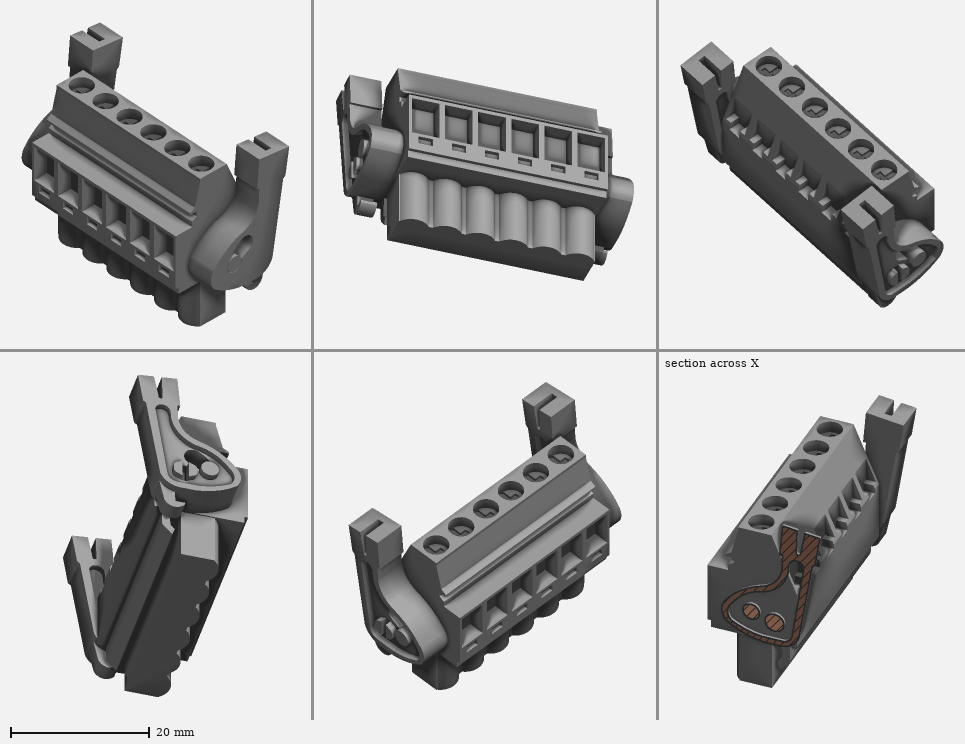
import cadquery as cq

OVERALL_LENGTH = 40.2
POLE_COUNT = 6
LEVER_WIDTH = 4.85
BOTTOM_Z = 8.35
TOP_Z = 27.05
BACK_Y = 14.02
TOP_BACK_Y = 10.05
PLUG_HALF_LENGTH = 15.03

HALF_LENGTH = OVERALL_LENGTH / 2
HOUSING_LENGTH = OVERALL_LENGTH - 2 * LEVER_WIDTH
HOUSING_HALF = HOUSING_LENGTH / 2
POLE_PITCH = HOUSING_LENGTH / POLE_COUNT
POLE_XS = [(i - (POLE_COUNT - 1) / 2) * POLE_PITCH for i in range(POLE_COUNT)]

SKIRT_FRONT_Y = 3.8
SKIRT_VALLEY_Y = 4.95
BULGE_HALF_WIDTH = 2.2

LATCH_PROFILE = [(12.85, BOTTOM_Z), (12.85, 5.6), (12.75, 5.1), (11.35, 3.6), (10.93, 4.7), (11.55, 5.3),
                 (11.7, 6.5), (11.35, BOTTOM_Z)]

WIRE_WIDTH = 4.2
WIRE_BOTTOM_Z = 12.45
WIRE_TOP_Z = 18.52
WIRE_DEPTH = 2.5
TEST_WIDTH = 2.15
TEST_BOTTOM_Z = 10.75
TEST_TOP_Z = 11.97
TEST_DEPTH = 0.7

SLOPE_FOOT_Z = 17.65
STEP_WIDTH = 4.05
STEP_FRONT_Y = 12.2
STEP_FLOOR_Z = 18.2
NOTCH_WIDTH = 2.1
NOTCH_FLOOR_Z = 16.88

SCREW_Y = 7.4
SCREW_RADIUS = 1.91
SCREW_TOP_DEPTH = 1.85
SCREW_LENGTH = 2.4
CROSS_DEPTH = 0.4
LONG_SLOT_WIDTH = 0.52
SHORT_SLOT_WIDTH = 0.8
SHORT_SLOT_LENGTH = 2.65

PIVOT_Y, PIVOT_Z = 10.73, 12.15
PIVOT_RADIUS = 1.505
LIP_WIDTH = 3.55
LIP_HEIGHT = 2.35
LIP_CORNER = 0.9
SPLIT_WIDTH = 0.92
SPLIT_DEPTH = 2.4
GUIDE_Y, GUIDE_Z = 7.07, 13.1
GUIDE_RADIUS = 1.33

POCKET_DEPTH = 0.95
GUIDE_SLOT_RADIUS = 1.4
TAPER_SLOT_DEPTH = 3.65
HOOK_WIDTH = 2.5
LEVER_BOTTOM_Z = 8.25


def box(x_range, y_range, z_range):
    """Box between the given limits on each axis."""
    lows, highs = zip(x_range, y_range, z_range)
    sizes = [high - low for low, high in zip(lows, highs)]
    return cq.Workplane("XY").box(*sizes, centered=False).translate(lows)


def side_plane(x):
    """Workplane at the given X whose local axes are Y and Z; extrusions go towards +X."""
    return cq.Workplane("YZ", origin=(x, 0, 0))


def housing_block():
    """Upper block with the stepped, undercut front."""
    profile = [
        (TOP_BACK_Y, TOP_Z), (4.82, TOP_Z), (4.82, 26.5),
        (3.78, 22.35), (2.85, 21.78), (2.85, 21.45), (4.18, 21.45), (4.18, 20.57), (3.25, 20.05), (3.25, 19.1),
        (0, 19.1), (0, 9.52), (0.55, 9.52), (0.55, BOTTOM_Z), (BACK_Y, BOTTOM_Z), (BACK_Y, SLOPE_FOOT_Z),
    ]
    return side_plane(-HOUSING_HALF).polyline(profile).close().extrude(HOUSING_LENGTH)


def plug_skirt():
    """Skirt below the block: flat back and one shallow bulge per pole in front."""
    outline = (
        cq.Workplane("XY")
        .moveTo(PLUG_HALF_LENGTH, TOP_BACK_Y)
        .lineTo(-PLUG_HALF_LENGTH, TOP_BACK_Y)
        .lineTo(-PLUG_HALF_LENGTH, SKIRT_VALLEY_Y)
    )
    for x in POLE_XS:
        outline = outline.lineTo(x - BULGE_HALF_WIDTH, SKIRT_VALLEY_Y)
        outline = outline.threePointArc((x, SKIRT_FRONT_Y), (x + BULGE_HALF_WIDTH, SKIRT_VALLEY_Y))
    return outline.lineTo(PLUG_HALF_LENGTH, SKIRT_VALLEY_Y).close().extrude(BOTTOM_Z)


def latch_rib():
    """Barbed rib behind the plug skirt."""
    return side_plane(-PLUG_HALF_LENGTH).polyline(LATCH_PROFILE).close().extrude(2 * PLUG_HALF_LENGTH)


def centred(x, width):
    """Limits of a span of the given width centred on the given place."""
    return (x - width / 2, x + width / 2)


def pole_cuts(x):
    """Everything removed from the block at one pole."""
    wire = box(centred(x, WIRE_WIDTH), (0, WIRE_DEPTH), (WIRE_BOTTOM_Z, WIRE_TOP_Z))
    test = box(centred(x, TEST_WIDTH), (0, TEST_DEPTH), (TEST_BOTTOM_Z, TEST_TOP_Z))
    step = box(centred(x, STEP_WIDTH), (STEP_FRONT_Y, BACK_Y), (STEP_FLOOR_Z, TOP_Z))
    notch = box(centred(x, NOTCH_WIDTH), (STEP_FRONT_Y, BACK_Y), (NOTCH_FLOOR_Z, TOP_Z))
    screw_hole = (
        cq.Workplane("XY", origin=(x, SCREW_Y, TOP_Z))
        .circle(SCREW_RADIUS).extrude(-SCREW_TOP_DEPTH - SCREW_LENGTH)
    )
    return [wire, test, step, notch, screw_hole]


def bearing_pins():
    """Pivot and guide pins through both levers, flush with their outer faces."""
    pivot = side_plane(-HALF_LENGTH).center(PIVOT_Y, PIVOT_Z).circle(PIVOT_RADIUS)
    guide = side_plane(-HALF_LENGTH).center(GUIDE_Y, GUIDE_Z).circle(GUIDE_RADIUS)
    return pivot.extrude(OVERALL_LENGTH).union(guide.extrude(OVERALL_LENGTH))


def snap_lip():
    """Rounded lip of the split pivot, resting on the floor of the -X lever's pocket."""
    return (
        side_plane(-HALF_LENGTH).center(PIVOT_Y, PIVOT_Z).rect(LIP_WIDTH, LIP_HEIGHT)
        .extrude(POCKET_DEPTH).edges("|X").fillet(LIP_CORNER)
    )


def pivot_split():
    """Upright slot that splits the end of the -X pivot pin into two prongs."""
    return box((-HALF_LENGTH, -HALF_LENGTH + SPLIT_DEPTH), centred(PIVOT_Y, SPLIT_WIDTH),
               centred(PIVOT_Z, 2 * PIVOT_RADIUS))


def make_housing():
    """Block, skirt, latch rib and lever bearings as one solid."""
    body = housing_block().union(plug_skirt()).union(latch_rib())
    body = body.union(bearing_pins()).union(snap_lip()).cut(pivot_split())
    for x in POLE_XS:
        for tool in pole_cuts(x):
            body = body.cut(tool)
    return body


def make_screw(x):
    """Headless screw with a cross recess, filling the lower part of its hole."""
    top = TOP_Z - SCREW_TOP_DEPTH
    floor = top - CROSS_DEPTH
    body = cq.Workplane("XY", origin=(x, SCREW_Y, top)).circle(SCREW_RADIUS).extrude(-SCREW_LENGTH)
    long_slot = box(centred(x, LONG_SLOT_WIDTH), centred(SCREW_Y, 2 * SCREW_RADIUS), (floor, top))
    short_slot = box(centred(x, SHORT_SLOT_LENGTH), centred(SCREW_Y, SHORT_SLOT_WIDTH), (floor, top))
    return body.cut(long_slot).cut(short_slot)


def lever_blank(x):
    """Finger grip on top, S-shaped front, rounded cam at the bottom."""
    return (
        side_plane(x)
        .moveTo(17.9, 28.9)
        .lineTo(11.97, 29.57)
        .lineTo(11.55, 24.3)
        .lineTo(11.97, 24.3)
        .lineTo(11.85, 21.75)
        .threePointArc((11.0, 19.65), (8.7, 18.05))
        .tangentArcPoint((2.95, 13.95), relative=False)
        .threePointArc((2.45, 12.05), (3.1, 10.55))
        .threePointArc((5.6, 9.12), (9.2, LEVER_BOTTOM_Z))
        .lineTo(11.57, LEVER_BOTTOM_Z)
        .threePointArc((13.42, 8.88), (14.6, 10.53))
        .lineTo(16.67, 23.65)
        .lineTo(17.1, 24.03)
        .close().extrude(LEVER_WIDTH)
    )


def lever_pocket(x):
    """Shallow pocket in the -X face, following the lever outline."""
    return (
        side_plane(x)
        .moveTo(13.0, 22.95)
        .lineTo(12.9, 21.58)
        .threePointArc((11.75, 18.95), (9.2, 17.15))
        .threePointArc((6.35, 16.05), (4.1, 13.8))
        .threePointArc((3.4, 12.05), (3.98, 10.75))
        .threePointArc((6.03, 9.85), (8.75, 9.25))
        .lineTo(12.1, 9.25)
        .threePointArc((13.1, 9.75), (13.5, 10.75))
        .lineTo(15.3, 22.95)
        .threePointArc((14.22, 23.9), (13.0, 22.95))
        .close().extrude(POCKET_DEPTH)
    )


def guide_slot(x):
    """Curved slot through the lever; its lower end is concentric with the guide pin."""
    return (
        side_plane(x)
        .moveTo(10.05, 14.35)
        .threePointArc((10.7, 15.75), (8.75, 17.0))
        .threePointArc((6.7, 15.3), (5.75, 13.6))
        .threePointArc((GUIDE_Y, GUIDE_Z - GUIDE_SLOT_RADIUS), (8.45, 13.42))
        .close().extrude(LEVER_WIDTH)
    )


def taper_slot(x):
    """Narrow tapering slot in the grip, open at the top and on the -X side."""
    return (
        side_plane(x)
        .moveTo(14.35, 29.75)
        .lineTo(14.2, 25.45)
        .threePointArc((14.45, 25.07), (14.8, 25.4))
        .lineTo(15.6, 29.75)
        .close().extrude(TAPER_SLOT_DEPTH)
    )


def lever_hook(x):
    """Hook hanging below the lever, centred in its width."""
    return (
        side_plane(x + (LEVER_WIDTH - HOOK_WIDTH) / 2)
        .moveTo(14.4, 10.13)
        .lineTo(13.62, 6.5)
        .threePointArc((13.1, 5.75), (12.05, 5.35))
        .threePointArc((11.15, 5.6), (10.53, 6.15))
        .lineTo(10.4, 6.5)
        .lineTo(11.95, 6.5)
        .lineTo(12.1, 10.13)
        .close().extrude(HOOK_WIDTH)
    )


def make_lever(x):
    """Lever whose -X face lies at the given X."""
    pivot_hole = side_plane(x).center(PIVOT_Y, PIVOT_Z).circle(PIVOT_RADIUS).extrude(LEVER_WIDTH)
    body = lever_blank(x).union(lever_hook(x))
    for tool in (lever_pocket(x), pivot_hole, guide_slot(x), taper_slot(x)):
        body = body.cut(tool)
    return body


housing = make_housing()
levers = [make_lever(x) for x in (-HALF_LENGTH, HOUSING_HALF)]
screws = [make_screw(x) for x in POLE_XS]

result = cq.Compound.makeCompound(
    [housing.val(), *[lever.val() for lever in levers], *[screw.val() for screw in screws]]
)